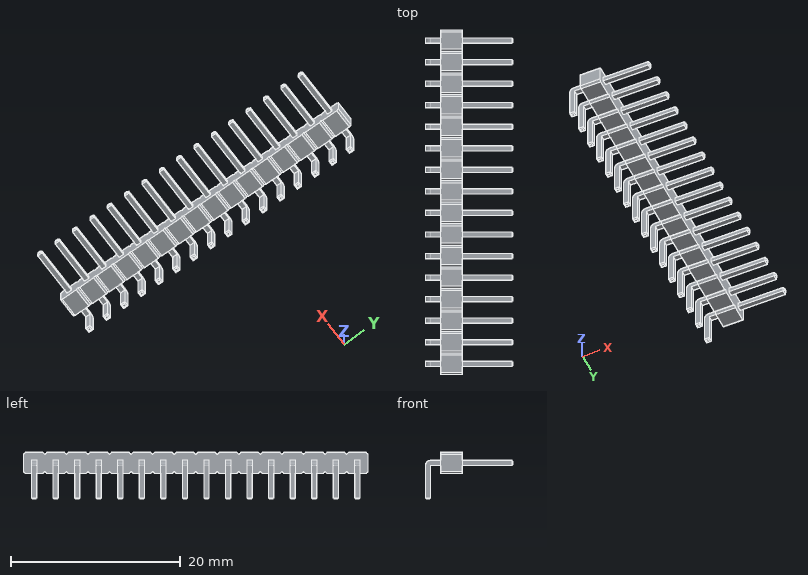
import cadquery as cq

pin_count = 16
pitch = 2.54

housing_depth = pitch
housing_height = pitch
cell_chamfer = pitch / 10
housing_gap = 1.5

pin_width = 0.64
mating_length = 6.0
leg_length = 4.27
bend_outer_radius = pin_width
tip_chamfer = pin_width / 4

half_pin = pin_width / 2
pin_end_x = housing_gap + housing_depth + mating_length
row_positions = [(i - (pin_count - 1) / 2) * pitch for i in range(pin_count)]


def make_cell():
    """One housing cell, its four edges along X chamfered."""
    cell = cq.Workplane("XY").box(housing_depth, pitch, housing_height)
    cell = cell.edges("|X").chamfer(cell_chamfer)
    return cell.translate((housing_gap + housing_depth / 2, 0, 0))


def make_tip(plane):
    """Tapered pin end that grows along the normal of the given plane."""
    end_width = pin_width - 2 * tip_chamfer
    return (
        cq.Workplane(plane)
        .rect(pin_width, pin_width)
        .workplane(offset=tip_chamfer)
        .rect(end_width, end_width)
        .loft(ruled=True)
    )


def make_pin():
    """L-shaped square pin, rounded outside the bend and tapered at both ends."""
    straight_end_x = pin_end_x - tip_chamfer
    straight_end_z = tip_chamfer - leg_length
    shank = (
        cq.Workplane("XZ")
        .moveTo(-half_pin, straight_end_z)
        .lineTo(-half_pin, half_pin - bend_outer_radius)
        .radiusArc((bend_outer_radius - half_pin, half_pin), bend_outer_radius)
        .lineTo(straight_end_x, half_pin)
        .lineTo(straight_end_x, -half_pin)
        .lineTo(half_pin, -half_pin)
        .lineTo(half_pin, straight_end_z)
        .close()
        .extrude(half_pin, both=True)
    )
    mating_tip = make_tip(cq.Plane((straight_end_x, 0, 0), (0, 1, 0), (1, 0, 0)))
    leg_tip = make_tip(cq.Plane((0, 0, straight_end_z), (1, 0, 0), (0, 0, -1)))
    return shank.union(mating_tip).union(leg_tip)


header_unit = make_cell().union(make_pin())
result = header_unit.translate((0, row_positions[0], 0))
for y in row_positions[1:]:
    result = result.union(header_unit.translate((0, y, 0)))